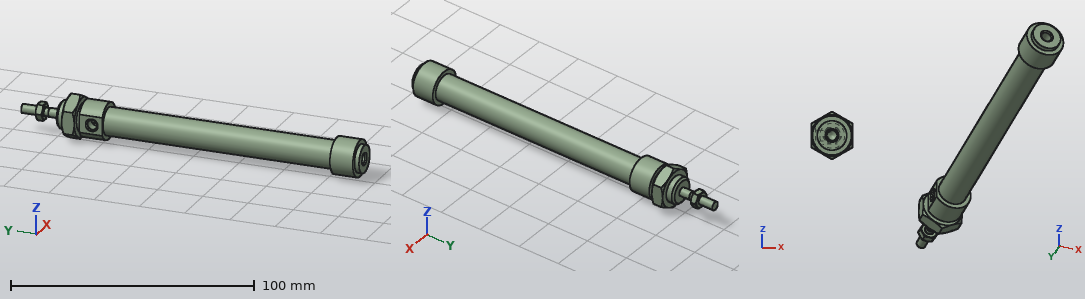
import cadquery as cq
import math

overall_length = 151.0

rear_cap_start = 2.0
rear_cap_end = 12.1
front_cap_start = 113.1
front_cap_end = 123.2
neck_end = 134.1
mounting_nut_start = 124.9
rod_nut_start = 141.0
rod_groove_start = 139.0

barrel_diameter = 12.1
cap_diameter = 16.0
neck_chamfer = 0.9
port_flat_offset = 7.0

port_diameter = 4.2
port_mouth_diameter = 5.5
rear_port_depth = 7.5
rear_port_tip_angle = 118.0
side_port_depth = 5.3
side_port_y = 117.8

rod_diameter = 4.0
rod_groove_diameter = 3.5
rod_inner_end = front_cap_start

mounting_nut_corner_diameter = 19.6
mounting_nut_face_diameter = 16.9
mounting_nut_thickness = 5.6
rod_nut_corner_diameter = 8.0
rod_nut_face_diameter = 6.6
rod_nut_thickness = 3.0
nut_chamfer_angle = 30.0


def cylinder_along_y(diameter, start, end):
    """Solid cylinder on the Y axis between two stations."""
    return cq.Workplane("XZ", origin=(0, start, 0)).circle(diameter / 2).extrude(start - end)


def revolve_about_y(outline):
    """Solid of revolution about the Y axis from closed (radius, y) points."""
    return cq.Workplane("XY").polyline(outline).close().revolve(360, (0, 0, 0), (0, 1, 0))


def port_cutter(depth, tip_length):
    """Port drilled up the Y axis from Y = 0, with a 45 degree mouth and an optional conical tip."""
    radius = port_diameter / 2
    mouth_radius = port_mouth_diameter / 2
    return revolve_about_y([
        (0, 0),
        (mouth_radius, 0),
        (radius, mouth_radius - radius),
        (radius, depth),
        (0, depth + tip_length),
    ])


def make_front_cap():
    """Front end cap with the flat seat on its -X side."""
    cap = cylinder_along_y(cap_diameter, front_cap_start, front_cap_end)
    beyond_flat = (
        cq.Workplane("XY")
        .box(cap_diameter, overall_length, cap_diameter, centered=(True, False, True))
        .translate((-port_flat_offset - cap_diameter / 2, 0, 0))
    )
    return cap.cut(beyond_flat)


def make_housing():
    """Barrel, both end caps and the threaded neck, with the two ports and the rod bore."""
    barrel = cylinder_along_y(barrel_diameter, 0, neck_end).faces(">Y").chamfer(neck_chamfer)
    rear_cap = cylinder_along_y(cap_diameter, rear_cap_start, rear_cap_end)
    body = barrel.union(rear_cap).union(make_front_cap())

    rear_tip_length = port_diameter / 2 / math.tan(math.radians(rear_port_tip_angle / 2))
    rear_port = port_cutter(rear_port_depth, rear_tip_length)

    side_port = (
        port_cutter(side_port_depth, tip_length=0)
        .rotate((0, 0, 0), (0, 0, 1), -90)
        .translate((-port_flat_offset, side_port_y, 0))
    )
    rod_bore = cylinder_along_y(rod_diameter, rod_inner_end, neck_end)
    return body.cut(rear_port).cut(side_port).cut(rod_bore)


def make_rod():
    """Piston rod with a relief groove just behind the rod nut."""
    rod = cylinder_along_y(rod_diameter, rod_inner_end, overall_length)
    groove = cylinder_along_y(rod_diameter, rod_groove_start, rod_nut_start)
    groove_core = cylinder_along_y(rod_groove_diameter, rod_groove_start, rod_nut_start)
    return rod.cut(groove.cut(groove_core))


def make_nut(corner_diameter, face_diameter, thickness, bore_diameter, start, corner_angle):
    """Hexagon nut on the Y axis, with the corners of both faces chamfered down to a circle.

    corner_angle turns the first corner about Y, away from +X.
    """
    hexagon = (
        cq.Workplane("XZ")
        .polygon(6, corner_diameter)
        .circle(bore_diameter / 2)
        .extrude(-thickness)
        .rotate((0, 0, 0), (0, 1, 0), corner_angle)
    )

    face_radius = face_diameter / 2
    middle = thickness / 2
    middle_radius = face_radius + middle / math.tan(math.radians(nut_chamfer_angle))
    double_cone = revolve_about_y([
        (0, 0),
        (face_radius, 0),
        (middle_radius, middle),
        (face_radius, thickness),
        (0, thickness),
    ])
    return hexagon.intersect(double_cone).translate((0, start, 0))


housing = make_housing()
rod = make_rod()
mounting_nut = make_nut(
    mounting_nut_corner_diameter,
    mounting_nut_face_diameter,
    mounting_nut_thickness,
    barrel_diameter,
    mounting_nut_start,
    corner_angle=90,
)
rod_nut = make_nut(
    rod_nut_corner_diameter,
    rod_nut_face_diameter,
    rod_nut_thickness,
    rod_diameter,
    rod_nut_start,
    corner_angle=0,
)

result = cq.Compound.makeCompound([
    housing.val(),
    rod.val(),
    mounting_nut.val(),
    rod_nut.val(),
])